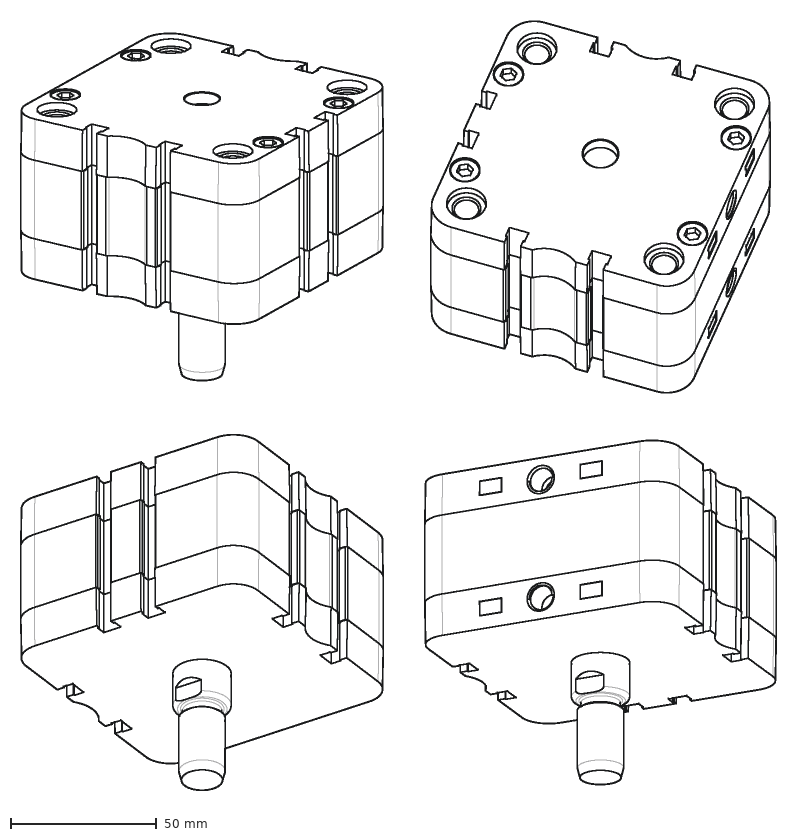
import cadquery as cq
import math


body_width = 95.5
half_width = body_width / 2
body_height = 59.0
cap_height = 15.0
barrel_height = body_height - 2 * cap_height
corner_radius = 10.3
cap_draft = 1.0

barrel_slot_mouth = 5.3
cap_slot_mouth = 5.9
slot_inner_width = 7.0
front_slot_offset = 15.0
front_slot_lip = 3.0
front_slot_depth = 6.9
side_slot_offset = 9.1
side_slot_lip = 1.9
side_slot_depth = 5.6
hollow_radius = 12.5
hollow_depth = 2.7
hollow_half_width = math.sqrt(hollow_depth * (2 * hollow_radius - hollow_depth))
barrel_edge_chamfer = 0.6

mount_offset = 36.0
mount_diameter = 8.4
mount_mouth_diameter = 9.8
mount_recess_diameter = 13.5
mount_recess_depth = 2.7

screw_x = 41.4
screw_y = 22.2
screw_seat_diameter = 10.3
screw_head_diameter = 9.8
screw_groove_depth = 0.6
screw_head_drop = 0.3
socket_width = 4.9
socket_depth = 3.0

centre_mouth_diameter = 12.5
centre_diameter = 12.0
centre_depth = 4.2

port_edge_distance = 8.0
port_mouth_diameter = 10.3
port_diameter = 8.6
port_depth = 10.1
passage_diameter = 5.0
passage_depth = 15.2

label_offset = 19.1
label_length = 8.3
label_height = 5.2
label_edge_distance = 7.5
label_depth = 0.3

rod_length = 42.0
rod_radius = 10.0
rod_shoulder_z = -13.8
shoulder_fillet = 1.5
neck_radius = 6.8
neck_fillet = 0.7
neck_end_z = -16.8
thread_radius = 8.0
thread_start_z = -17.6
thread_end_z = -38.5
nose_radius = 7.1
flat_half_width = 8.5
flat_top_z = -8.1


def four_places(x, y):
    """Points mirrored across the X and Y axes."""
    return [(x, y), (-x, y), (-x, -y), (x, -y)]


def body_block(height, draft=0.0):
    """Square block with round corners and a hollow in its +Y and -Y sides, narrowing upwards."""
    flat_end = half_width - corner_radius
    corner_mid = flat_end + corner_radius * math.sqrt(0.5)
    hollow_end = hollow_half_width
    hollow_floor = half_width - hollow_depth
    return (
        cq.Workplane("XY")
        .moveTo(-flat_end, half_width)
        .lineTo(-hollow_end, half_width)
        .threePointArc((0, hollow_floor), (hollow_end, half_width))
        .lineTo(flat_end, half_width)
        .threePointArc((corner_mid, corner_mid), (half_width, flat_end))
        .lineTo(half_width, -flat_end)
        .threePointArc((corner_mid, -corner_mid), (flat_end, -half_width))
        .lineTo(hollow_end, -half_width)
        .threePointArc((0, -hollow_floor), (-hollow_end, -half_width))
        .lineTo(-flat_end, -half_width)
        .threePointArc((-corner_mid, -corner_mid), (-half_width, -flat_end))
        .lineTo(-half_width, flat_end)
        .threePointArc((-corner_mid, corner_mid), (-flat_end, half_width))
        .close()
        .extrude(height, taper=draft)
    )


def slot_cutter(angle, offset, lip, depth, mouth_width, height):
    """T-slot opening in the +X side at Y = offset, then turned by angle about the Z axis."""
    mouth = (
        cq.Workplane("XY")
        .center(half_width - lip / 2, offset)
        .rect(lip, mouth_width)
        .extrude(height)
    )
    chamber_depth = depth - lip
    chamber = (
        cq.Workplane("XY")
        .center(half_width - lip - chamber_depth / 2, offset)
        .rect(chamber_depth, slot_inner_width)
        .extrude(height)
    )
    return mouth.union(chamber).rotate((0, 0, 0), (0, 0, 1), angle)


def cut_slots(block, mouth_width, height):
    """Two slots in each of the +Y and -Y sides and two shallower ones in the +X side."""
    for sign in (-1, 1):
        for angle in (90, -90):
            block = block.cut(
                slot_cutter(
                    angle, sign * front_slot_offset, front_slot_lip, front_slot_depth, mouth_width, height
                )
            )
        block = block.cut(
            slot_cutter(0, sign * side_slot_offset, side_slot_lip, side_slot_depth, mouth_width, height)
        )
    return block


def make_barrel():
    """Barrel with chamfered slot lips and hollow edges."""
    barrel = cut_slots(body_block(barrel_height), barrel_slot_mouth, barrel_height)
    half_mouth = barrel_slot_mouth / 2
    edges = []
    for side in (-1, 1):
        for face_y in (-half_width, half_width):
            edges.append((side * hollow_half_width, face_y))
            edges.append((side * front_slot_offset - half_mouth, face_y))
            edges.append((side * front_slot_offset + half_mouth, face_y))
        edges.append((half_width, side * side_slot_offset - half_mouth))
        edges.append((half_width, side * side_slot_offset + half_mouth))
    for x, y in edges:
        nearest = cq.selectors.NearestToPointSelector((x, y, barrel_height / 2))
        barrel = barrel.edges(nearest).chamfer(barrel_edge_chamfer)
    return barrel.translate((0, 0, cap_height))


def drill_port(cap, depth, diameter):
    """Hole from the -X face of a cap whose outer face is at Z = cap_height."""
    return cap.cut(
        cq.Workplane("YZ", origin=(-half_width, 0, cap_height - port_edge_distance))
        .circle(diameter / 2)
        .extrude(depth)
    )


def make_plain_cap():
    """Cap standing on Z = 0 with its outer face up, its port mouth and its label recesses."""
    cap = cut_slots(body_block(cap_height, cap_draft), cap_slot_mouth, cap_height)
    cap = drill_port(cap, port_depth, port_diameter)

    face_x = -half_width + math.tan(math.radians(cap_draft)) * (cap_height - port_edge_distance)
    mouth_radius = port_mouth_diameter / 2
    port_mouth = cq.Solid.makeCone(
        mouth_radius,
        port_diameter / 2,
        mouth_radius - port_diameter / 2,
        pnt=cq.Vector(face_x, 0, cap_height - port_edge_distance),
        dir=cq.Vector(1, 0, 0),
    )
    cap = cap.cut(cq.Workplane(port_mouth))

    labels = (
        cq.Workplane("YZ", origin=(-half_width, 0, cap_height - label_edge_distance))
        .pushPoints([(-label_offset, 0), (label_offset, 0)])
        .rect(label_length, label_height)
        .extrude(face_x + half_width + label_depth)
    )
    return cap.cut(labels)


def cut_mounting_holes(cap):
    """Recessed holes through the cap at the four corners, with a countersunk step into each bore."""
    top = cap_height - mount_recess_depth
    mouth_depth = (mount_mouth_diameter - mount_diameter) / 2
    places = four_places(mount_offset, mount_offset)
    recesses = (
        cq.Workplane("XY", origin=(0, 0, top))
        .pushPoints(places)
        .circle(mount_recess_diameter / 2)
        .extrude(mount_recess_depth)
    )
    bores = cq.Workplane("XY").pushPoints(places).circle(mount_diameter / 2).extrude(top)
    cap = cap.cut(recesses).cut(bores)
    for x, y in places:
        mouth = cq.Solid.makeCone(
            mount_diameter / 2,
            mount_mouth_diameter / 2,
            mouth_depth,
            pnt=cq.Vector(x, y, top - mouth_depth),
        )
        cap = cap.cut(cq.Workplane(mouth))
    return cap


def cut_screw_heads(cap):
    """Screw heads in one piece with the cap: a groove around each head, and a hexagon socket."""
    places = four_places(screw_x, screw_y)
    seats = (
        cq.Workplane("XY", origin=(0, 0, cap_height - screw_groove_depth))
        .pushPoints(places)
        .circle(screw_seat_diameter / 2)
        .extrude(screw_groove_depth)
    )
    heads = (
        cq.Workplane("XY", origin=(0, 0, cap_height - screw_groove_depth))
        .pushPoints(places)
        .circle(screw_head_diameter / 2)
        .extrude(screw_groove_depth - screw_head_drop)
    )
    socket_corner_diameter = socket_width / math.cos(math.pi / 6)
    sockets = (
        cq.Workplane("XY", origin=(0, 0, cap_height - socket_depth))
        .transformed(rotate=(0, 0, 90))
        .pushPoints(four_places(screw_y, screw_x))
        .polygon(6, socket_corner_diameter)
        .extrude(socket_depth)
    )
    return cap.cut(seats.cut(heads)).cut(sockets)


def make_top_cap():
    """Upper cap with mounting holes, screw heads, a centring recess and an air passage behind its port."""
    cap = drill_port(make_plain_cap(), passage_depth, passage_diameter)
    cap = cut_screw_heads(cut_mounting_holes(cap))
    centre_recess = (
        cq.Workplane("XY", origin=(0, 0, cap_height - centre_depth))
        .circle(centre_diameter / 2)
        .extrude(centre_depth)
    )
    mouth_depth = (centre_mouth_diameter - centre_diameter) / 2
    centre_mouth = cq.Solid.makeCone(
        centre_diameter / 2,
        centre_mouth_diameter / 2,
        mouth_depth,
        pnt=cq.Vector(0, 0, cap_height - mouth_depth),
    )
    cap = cap.cut(centre_recess).cut(cq.Workplane(centre_mouth))
    return cap.translate((0, 0, cap_height + barrel_height))


def make_bottom_cap():
    """Lower cap, turned face down, with a through hole that holds the rod."""
    cap = make_plain_cap().mirror("XY").translate((0, 0, cap_height))
    rod_hole = cq.Workplane("XY").circle(rod_radius).extrude(cap_height)
    return cap.cut(rod_hole)


def make_rod():
    """Stepped rod from the bottom of the barrel down to its tapered nose, with two wrench flats."""
    rod = (
        cq.Workplane("XZ")
        .moveTo(0, cap_height)
        .lineTo(rod_radius, cap_height)
        .lineTo(rod_radius, rod_shoulder_z + shoulder_fillet)
        .radiusArc((rod_radius - shoulder_fillet, rod_shoulder_z), shoulder_fillet)
        .lineTo(neck_radius + neck_fillet, rod_shoulder_z)
        .radiusArc((neck_radius, rod_shoulder_z - neck_fillet), -neck_fillet)
        .lineTo(neck_radius, neck_end_z)
        .lineTo(thread_radius, thread_start_z)
        .lineTo(thread_radius, thread_end_z)
        .lineTo(nose_radius, -rod_length)
        .lineTo(0, -rod_length)
        .close()
        .revolve(360, (0, 0), (0, 1))
    )
    run_out = rod_radius - flat_half_width
    for side in (1, -1):
        flat = (
            cq.Workplane("XZ")
            .polyline(
                [
                    (side * flat_half_width, rod_shoulder_z),
                    (side * flat_half_width, flat_top_z),
                    (side * rod_radius, flat_top_z + run_out),
                    (side * rod_radius, rod_shoulder_z),
                ]
            )
            .close()
            .extrude(rod_radius, both=True)
        )
        rod = rod.cut(flat)
    return rod


barrel = make_barrel()
top_cap = make_top_cap()
bottom_cap = make_bottom_cap()
rod = make_rod()
result = cq.Compound.makeCompound([barrel.val(), top_cap.val(), bottom_cap.val(), rod.val()])